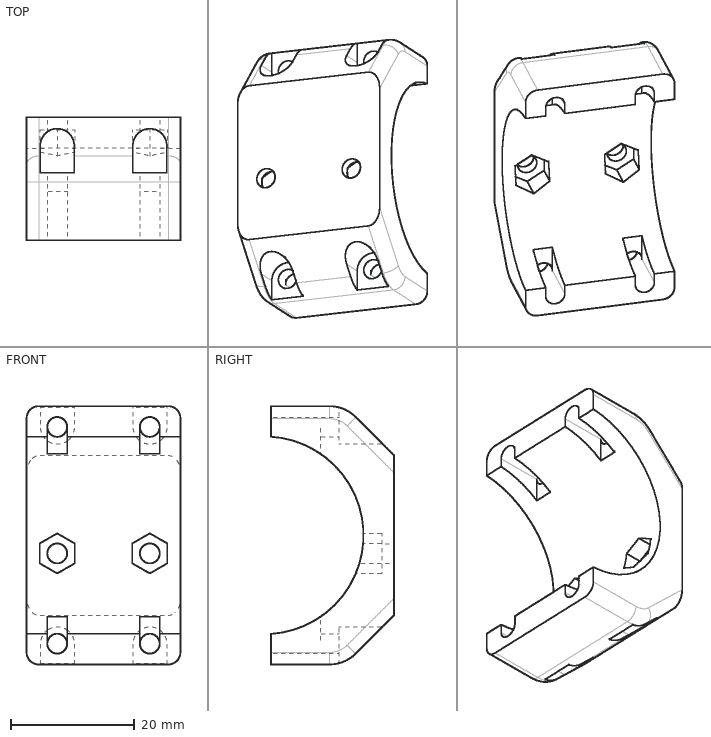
import cadquery as cq
import math

WIDTH = 25.0
DEPTH = 20.0
HEIGHT = 41.95

WALL = 5.0
BACK_CHAMFER = 8.0
BACK_ROUND_RADIUS = 6.0
SIDE_ROUND_RADIUS = 2.0
HALF_OPENING = HEIGHT / 2 - WALL
BORE_BACK_Y = DEPTH - WALL

HOLE_DIAMETER = 3.2
HOLE_SPACING = 15.0
HOLE_XS = (-HOLE_SPACING / 2, HOLE_SPACING / 2)

CLAMP_HOLE_Z = HALF_OPENING + HOLE_DIAMETER / 2
HEAD_DIAMETER = 5.5
HEAD_SEAT_Y = 11.0
RELIEF_DEPTH = 8.0

MOUNT_HOLE_Z = -2.95
NUT_ACROSS_CORNERS = 6.5
NUT_SEAT_THICKNESS = 2.0


def cylinder_along_y(diameter, x, z, start_y, end_y):
    axis_plane = cq.Plane(origin=(x, start_y, z), xDir=(1, 0, 0), normal=(0, 1, 0))
    return cq.Workplane(axis_plane).circle(diameter / 2).extrude(end_y - start_y)


def outer_body():
    """Chamfered block with rounded outer edges, before boring."""
    top = HEIGHT / 2
    chamfer_y = DEPTH - BACK_CHAMFER
    chamfer_z = top - BACK_CHAMFER
    body = (
        cq.Workplane("YZ", origin=(-WIDTH / 2, 0, 0))
        .moveTo(0, -top)
        .lineTo(chamfer_y, -top)
        .lineTo(DEPTH, -chamfer_z)
        .lineTo(DEPTH, chamfer_z)
        .lineTo(chamfer_y, top)
        .lineTo(0, top)
        .close()
        .extrude(WIDTH)
    )
    for end_face in (">Z", "<Z"):
        body = body.faces(end_face).edges(">Y").fillet(BACK_ROUND_RADIUS)
    for end_face in (">Z", "<Z"):
        for side in (">X", "<X"):
            body = body.faces(end_face).edges(side).fillet(SIDE_ROUND_RADIUS)
    return body


def bore():
    """Circular segment through the opening edges and the deepest bore line."""
    return (
        cq.Workplane("YZ", origin=(-WIDTH / 2, 0, 0))
        .moveTo(0, -HALF_OPENING)
        .threePointArc((BORE_BACK_Y, 0), (0, HALF_OPENING))
        .close()
        .extrude(WIDTH)
    )


def box_between_z(x, width, start_y, end_y, z_a, z_b):
    return (
        cq.Workplane("XY")
        .box(width, end_y - start_y, abs(z_b - z_a), centered=(True, False, True))
        .translate((x, start_y, (z_a + z_b) / 2))
    )


def clamp_screw_cut(x, z):
    """Through hole, U-shaped head pocket open to the outside and relief slot into the bore."""
    outer_z = math.copysign(HEIGHT / 2, z)
    hole = cylinder_along_y(HOLE_DIAMETER, x, z, 0, DEPTH)
    relief = box_between_z(x, HOLE_DIAMETER, 0, RELIEF_DEPTH, 0, z)
    head_pocket = cylinder_along_y(HEAD_DIAMETER, x, z, HEAD_SEAT_Y, DEPTH)
    head_opening = box_between_z(x, HEAD_DIAMETER, HEAD_SEAT_Y, DEPTH, z, outer_z)
    return hole.union(relief).union(head_pocket).union(head_opening)


def mount_screw_cut(x):
    """Through hole with a nut pocket, one corner of the hexagon pointing up."""
    hole = cylinder_along_y(HOLE_DIAMETER, x, MOUNT_HOLE_Z, 0, DEPTH)
    nut_plane = cq.Plane(origin=(x, 0, MOUNT_HOLE_Z), xDir=(0, 0, 1), normal=(0, 1, 0))
    nut_depth = DEPTH - NUT_SEAT_THICKNESS
    nut_pocket = cq.Workplane(nut_plane).polygon(6, NUT_ACROSS_CORNERS).extrude(nut_depth)
    return hole.union(nut_pocket)


result = outer_body().cut(bore())
for hole_x in HOLE_XS:
    result = result.cut(mount_screw_cut(hole_x))
    for hole_z in (-CLAMP_HOLE_Z, CLAMP_HOLE_Z):
        result = result.cut(clamp_screw_cut(hole_x, hole_z))